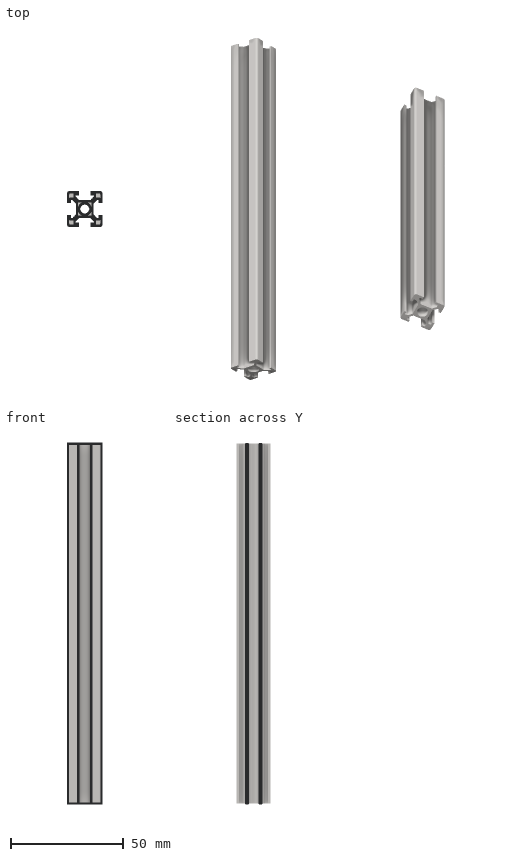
import cadquery as cq
import math

BAR_WIDTH = 15.0
BAR_LENGTH = 160.0
CORNER_RADIUS = 1.0
SLOT_COUNT = 4
SLOT_OPENING = 6.2
LIP_THICKNESS = 1.0
SLOT_INNER_WIDTH = 9.0
CORE_WIDTH = 7.0
WEB_THICKNESS = 1.0
BORE_DIAMETER = 5.0

half_width = BAR_WIDTH / 2
half_core = CORE_WIDTH / 2
half_opening = SLOT_OPENING / 2
half_inner = SLOT_INNER_WIDTH / 2
lip_back = half_width - LIP_THICKNESS
web_offset = WEB_THICKNESS / math.sqrt(2)


def make_blank():
    """Solid square bar with rounded long edges."""
    bar = cq.Workplane("XY").rect(BAR_WIDTH, BAR_WIDTH).extrude(BAR_LENGTH)
    return bar.edges("|Z").fillet(CORNER_RADIUS)


def make_slot():
    """Full-length T-slot void on the +X side, narrowing along the webs to the core flat."""
    upper_side = [
        (half_width, half_opening),
        (lip_back, half_opening),
        (lip_back, half_inner),
        (half_inner + web_offset, half_inner),
        (half_core, half_core - web_offset),
    ]
    lower_side = [(x, -y) for x, y in reversed(upper_side)]
    return cq.Workplane("XY").polyline(upper_side + lower_side).close().extrude(BAR_LENGTH)


def make_bore():
    """Round hole through the core along the bar axis."""
    return cq.Workplane("XY").circle(BORE_DIAMETER / 2).extrude(BAR_LENGTH)


result = make_blank().cut(make_bore())
slot = make_slot()
for side in range(SLOT_COUNT):
    result = result.cut(slot.rotate((0, 0, 0), (0, 0, 1), side * 360 / SLOT_COUNT))